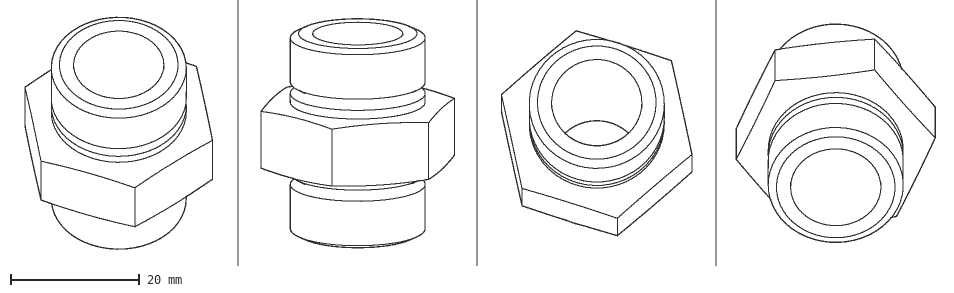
import cadquery as cq
import math

total_length = 32.0
across_flats = 27.0
hex_height = 10.0
bore_diameter = 14.0

thread_radius = 10.5
end_chamfer_width = 1.28
end_chamfer_height = 0.67

groove_start = 7.8
groove_width = 1.8
groove_flank_angle = 60.0
groove_floor_radius = 0.3

hex_face_radius = 13.02
hex_chamfer_angle = 10.0

half_length = total_length / 2
across_corners = across_flats / math.cos(math.radians(30))


def make_hexagon():
    """Hexagon centred on the origin, its corners cut by a cone above and below."""
    prism = cq.Workplane("XY").polygon(6, across_corners).extrude(hex_height / 2, both=True)
    corner_radius = across_corners / 2
    half_height = hex_height / 2
    chamfer_drop = (corner_radius - hex_face_radius) * math.tan(math.radians(hex_chamfer_angle))
    envelope = (
        cq.Workplane("XZ")
        .moveTo(0, -half_height)
        .lineTo(hex_face_radius, -half_height)
        .lineTo(corner_radius, chamfer_drop - half_height)
        .lineTo(corner_radius, half_height - chamfer_drop)
        .lineTo(hex_face_radius, half_height)
        .lineTo(0, half_height)
        .close()
        .revolve()
    )
    return prism.intersect(envelope)


def make_threaded_end():
    """Upper half of the turned body, with its end chamfer and round-bottomed relief groove."""
    groove_top = half_length - groove_start
    groove_bottom = groove_top - groove_width
    groove_middle = (groove_top + groove_bottom) / 2
    flank_angle = math.radians(groove_flank_angle)
    tangent_height = groove_floor_radius * math.sin(flank_angle)
    tangent_radius = thread_radius - (groove_width / 2 - tangent_height) * math.tan(flank_angle)
    groove_radius = tangent_radius - groove_floor_radius * (1 - math.cos(flank_angle))
    return (
        cq.Workplane("XZ")
        .lineTo(thread_radius, 0)
        .lineTo(thread_radius, groove_bottom)
        .lineTo(tangent_radius, groove_middle - tangent_height)
        .threePointArc(
            (groove_radius, groove_middle),
            (tangent_radius, groove_middle + tangent_height),
        )
        .lineTo(thread_radius, groove_top)
        .lineTo(thread_radius, half_length - end_chamfer_height)
        .lineTo(thread_radius - end_chamfer_width, half_length)
        .lineTo(0, half_length)
        .close()
        .revolve()
    )


upper_end = make_threaded_end()
lower_end = upper_end.mirror("XY")
bore = cq.Workplane("XY").circle(bore_diameter / 2).extrude(half_length, both=True)

result = make_hexagon().union(upper_end).union(lower_end).cut(bore)